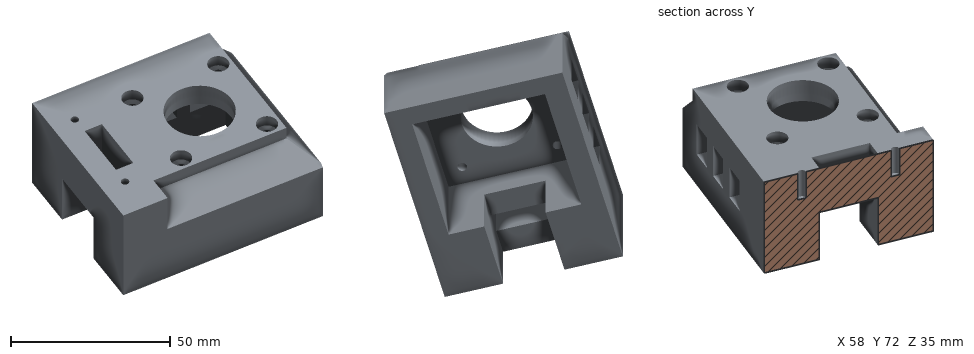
import cadquery as cq

length_x = 58.0
length_y = 72.0
height = 35.0

motor_x = length_x / 2
motor_y = 44.0
motor_pocket_size = 43.2
mounting_plate_thickness = 8.0
motor_bore_diameter = 22.7
screw_spacing = 31.0
screw_hole_diameter = 3.0
screw_head_diameter = 7.0
screw_head_depth = 4.0
ceiling_z = height - mounting_plate_thickness

channel_width = 20.0
channel_height = 18.0

opening_size_y = 6.2
opening_front_y = 8.15

pilot_diameter = 2.7
pilot_depth = 10.0
pilot_spacing = 32.0
pilot_y = 8.0

window_count = 3
window_width = 8.0
window_pitch = 12.83
window_height = 11.5
window_bottom_z = 11.75

relief_step_z = 30.4
rear_relief_width = 8.0
right_relief_width = 9.0
right_relief_front_y = 16.0


def box(size_x, size_y, size_z, corner):
    """Box with its lower left front corner at the given point."""
    return cq.Workplane("XY").box(size_x, size_y, size_z, centered=False).translate(corner)


def relief_profile(plane, inner_edge, width):
    """Closed outline of the material removed outwards from inner_edge."""
    outer_edge = inner_edge + width
    return plane.polyline([
        (inner_edge, height),
        (inner_edge, relief_step_z),
        (outer_edge, relief_step_z - width),
        (outer_edge, height),
    ]).close()


def rear_relief():
    profile = relief_profile(cq.Workplane("YZ"), length_y - rear_relief_width, rear_relief_width)
    return profile.extrude(length_x)


def right_relief():
    plane = cq.Workplane("XZ", origin=(0, right_relief_front_y, 0))
    profile = relief_profile(plane, length_x - right_relief_width, right_relief_width)
    return profile.extrude(right_relief_front_y - length_y)


def motor_pocket():
    corner = (motor_x - motor_pocket_size / 2, motor_y - motor_pocket_size / 2, 0)
    return box(motor_pocket_size, motor_pocket_size, ceiling_z, corner)


def front_channel():
    return box(channel_width, motor_y, channel_height, ((length_x - channel_width) / 2, 0, 0))


def top_opening():
    corner = ((length_x - channel_width) / 2, opening_front_y, 0)
    return box(channel_width, opening_size_y, height, corner)


def windows():
    wall_thickness = motor_x - motor_pocket_size / 2
    first_y = motor_y - (window_count - 1) * window_pitch / 2 - window_width / 2
    cutters = cq.Workplane("XY")
    for index in range(window_count):
        corner = (0, first_y + index * window_pitch, window_bottom_z)
        cutters = cutters.add(box(wall_thickness, window_width, window_height, corner))
    return cutters.combine()


def cut_motor_holes(body):
    top = cq.Workplane("XY", origin=(motor_x, motor_y, height))
    bore = top.circle(motor_bore_diameter / 2).extrude(-mounting_plate_thickness)
    screw_positions = top.rect(screw_spacing, screw_spacing, forConstruction=True).vertices()
    screw_holes = screw_positions.circle(screw_hole_diameter / 2).extrude(-mounting_plate_thickness)
    screw_heads = screw_positions.circle(screw_head_diameter / 2).extrude(-screw_head_depth)
    return body.cut(bore).cut(screw_holes).cut(screw_heads)


def pilot_holes():
    top = cq.Workplane("XY", origin=(length_x / 2, pilot_y, height))
    positions = top.pushPoints([(-pilot_spacing / 2, 0), (pilot_spacing / 2, 0)])
    return positions.circle(pilot_diameter / 2).extrude(-pilot_depth)


result = box(length_x, length_y, height, (0, 0, 0))
for cutter in (
    rear_relief(),
    right_relief(),
    motor_pocket(),
    front_channel(),
    top_opening(),
    windows(),
    pilot_holes(),
):
    result = result.cut(cutter)
result = cut_motor_holes(result)